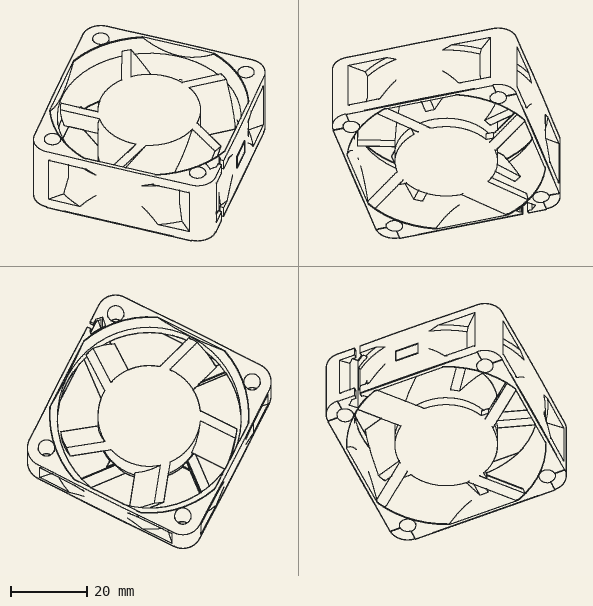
import cadquery as cq
import math

frame_side = 50.0
frame_height = 20.0
corner_radius = 5.0
face_bow = 0.15
bow_half_width = 15.0
hole_pitch = 40.0
hole_diameter = 4.3
rim_height = 0.25

bore_radius = 24.05
flare_radius = 26.1
top_flare_depth = 3.8
bottom_flare_depth = 8.1
duct_half_width = 24.15
duct_wall = 1.85

flange_thickness = 3.0
web_thickness = 7.9

outlet_duct_radius = 26.3
outlet_slot = (-15.1, -13.55)
outlet_wall_gap = (-16.3, -13.0)
outlet_side_wall = 1.0
outlet_chamfer = 1.35
outlet_web_offset = 4.95

pad_width = 6.35
pad_height = 4.05
pad_thickness = 0.2

hub_radius = 13.45
strut_angles = (50, 140, 230)
cable_strut_angle = 320
strut_height = 2.0
strut_near_edge = 5.35
strut_ridge = (5.55, 5.8)
strut_far_edge = 8.5
cable_strut_near_edge = 0.5
gusset_tip = (14.45, 5.2)

blade_count = 5
first_blade_angle = 36
blade_tip_radius = 23.2
rotor_top = 18.5
blade_height = 12.1
blade_top_offset = 4.9
blade_bottom_offset = -1.7
blade_width = 2.4

half_side = frame_side / 2


def block(x_range, y_range, z_range):
    """Box between the given limits."""
    size = [high - low for low, high in (x_range, y_range, z_range)]
    corner = (x_range[0], y_range[0], z_range[0])
    return cq.Workplane("XY").box(*size, centered=False).translate(corner)


def radial_bar(profile, inner_radius, outer_radius, angle):
    """Bar along a radius; the profile lists (offset counterclockwise of the radius, Z)."""
    bar = (
        cq.Workplane("YZ", origin=(inner_radius, 0, 0))
        .polyline(profile)
        .close()
        .extrude(outer_radius - inner_radius)
    )
    return bar.rotate((0, 0, 0), (0, 0, 1), angle)


def duct_body(offset):
    """Revolved duct with a flare at each end, its wall moved outward by the offset."""
    flare = flare_radius - bore_radius

    def flare_profile(depth):
        angle = math.atan2(flare, depth)
        kink_depth = depth + offset * math.tan(angle / 2)
        return kink_depth, flare_radius + offset / math.cos(angle)

    bottom_kink, bottom_radius = flare_profile(bottom_flare_depth)
    top_kink, top_radius = flare_profile(top_flare_depth)
    straight_radius = bore_radius + offset
    return (
        cq.Workplane("XZ")
        .moveTo(0, 0)
        .lineTo(bottom_radius, 0)
        .lineTo(straight_radius, bottom_kink)
        .lineTo(straight_radius, frame_height - top_kink)
        .lineTo(top_radius, frame_height)
        .lineTo(0, frame_height)
        .close()
        .revolve(360, (0, 0, 0), (0, 1, 0))
    )


def outer_block():
    """Rounded square block with bowed faces and a raised rim under each side."""
    block_body = (
        cq.Workplane("XY").rect(frame_side, frame_side).extrude(frame_height)
        .edges("|Z").fillet(corner_radius)
    )
    straight = half_side - corner_radius
    bow = (
        cq.Workplane("XY")
        .moveTo(half_side, -bow_half_width)
        .threePointArc((half_side + face_bow, 0), (half_side, bow_half_width))
        .lineTo(0, 0)
        .close()
        .extrude(frame_height)
    )
    rim = block((0, half_side), (-straight, straight), (-rim_height, 0))
    for angle in range(0, 360, 90):
        for piece in (bow, rim):
            block_body = block_body.union(piece.rotate((0, 0, 0), (0, 0, 1), angle))
    return block_body


def duct_void():
    """Air passage through the frame."""
    return duct_body(0).intersect(
        cq.Workplane("XY").rect(2 * duct_half_width, 2 * duct_half_width).extrude(frame_height)
    )


def corner_hollows():
    """Hollows around the duct, parted at each corner by a diagonal web."""
    reach = 2 * frame_side
    hollow_height = frame_height - 2 * flange_thickness
    hollows = (
        cq.Workplane("XY").workplane(offset=flange_thickness)
        .rect(reach, reach).extrude(hollow_height)
        .cut(duct_body(duct_wall))
    )
    web = (
        cq.Workplane("XY").workplane(offset=flange_thickness)
        .rect(2 * reach, web_thickness).extrude(hollow_height)
    )
    for angle in (45, 135):
        hollows = hollows.cut(web.rotate((0, 0, 0), (0, 0, 1), angle))
    return hollows


def cable_outlet():
    """Opening beside the duct at the +X, -Y corner, with a slot through the +X face."""
    full_height = frame_height + rim_height
    wall_x = half_side - outlet_side_wall
    low_y, high_y = outlet_wall_gap
    web_x = (outlet_web_offset + wall_x - low_y) / 2
    opening = (
        cq.Workplane("XY")
        .moveTo(wall_x, high_y)
        .lineTo(wall_x - outlet_chamfer, high_y + outlet_chamfer)
        .lineTo(bore_radius / 2, outlet_web_offset - bore_radius / 2)
        .lineTo(web_x, outlet_web_offset - web_x)
        .lineTo(wall_x, low_y)
        .close()
        .extrude(full_height)
        .cut(cq.Workplane("XY").circle(outlet_duct_radius).extrude(full_height))
    )
    slot = block((wall_x, half_side + face_bow), outlet_slot, (0, full_height))
    return opening.union(slot).translate((0, 0, -rim_height))


def side_pad():
    """Low rectangular pad at the middle of the +X face."""
    middle = frame_height / 2
    return block(
        (duct_half_width, half_side + face_bow + pad_thickness),
        (-pad_width / 2, pad_width / 2),
        (middle - pad_height / 2, middle + pad_height / 2),
    )


def motor_base():
    """Disc under the rotor with four struts, each with a gusset.

    The strut that leads to the cable outlet is wider than the others.
    """
    base = cq.Workplane("XY").circle(hub_radius).extrude(flange_thickness)
    strut_profile = [
        (strut_near_edge, 0),
        (strut_ridge[0], strut_height),
        (strut_ridge[1], strut_height),
        (strut_far_edge, 0),
    ]
    cable_strut_profile = [
        (cable_strut_near_edge, 0),
        (cable_strut_near_edge, strut_height),
        (strut_ridge[1], strut_height),
        (strut_far_edge, 0),
    ]
    for angle in strut_angles:
        base = base.union(radial_bar(strut_profile, 0, frame_side, angle))
    base = base.union(radial_bar(cable_strut_profile, 0, frame_side, cable_strut_angle))

    tip_x, tip_y = gusset_tip
    strut_slope = 1 / math.tan(math.radians(strut_angles[0]))
    gusset_outline = [(-tip_x, tip_y), (0, tip_y), (0, tip_y - tip_x * strut_slope)]
    gusset = cq.Workplane("XY").polyline(gusset_outline).close()
    gusset = gusset.extrude(strut_height)
    for angle in range(0, 360, 90):
        base = base.union(gusset.rotate((0, 0, 0), (0, 0, 1), angle))
    return base.intersect(duct_void())


def make_frame():
    holes = (
        cq.Workplane("XY").workplane(offset=-rim_height)
        .rect(hole_pitch, hole_pitch, forConstruction=True)
        .vertices().circle(hole_diameter / 2).extrude(frame_height + rim_height)
    )
    rim_opening = duct_void().translate((0, 0, -rim_height))
    body = outer_block().cut(corner_hollows()).union(side_pad())
    body = body.cut(rim_opening).cut(duct_void()).cut(holes).cut(cable_outlet())
    return body.union(motor_base())


def make_rotor():
    """Hub with slanted flat blades, standing on the motor base."""
    blade_bottom = rotor_top - blade_height
    rotor = (
        cq.Workplane("XY").workplane(offset=flange_thickness)
        .circle(hub_radius).extrude(rotor_top - flange_thickness)
    )
    swept_space = cq.Workplane("XY").circle(blade_tip_radius).extrude(rotor_top)
    blade_profile = [
        (blade_bottom_offset, blade_bottom),
        (blade_bottom_offset + blade_width, blade_bottom),
        (blade_top_offset + blade_width, rotor_top),
        (blade_top_offset, rotor_top),
    ]
    for index in range(blade_count):
        angle = first_blade_angle + index * 360 / blade_count
        blade = radial_bar(blade_profile, hub_radius / 2, frame_side, angle)
        rotor = rotor.union(blade.intersect(swept_space))
    return rotor


frame = make_frame()
rotor = make_rotor()
result = cq.Compound.makeCompound([frame.solids().val(), rotor.solids().val()])